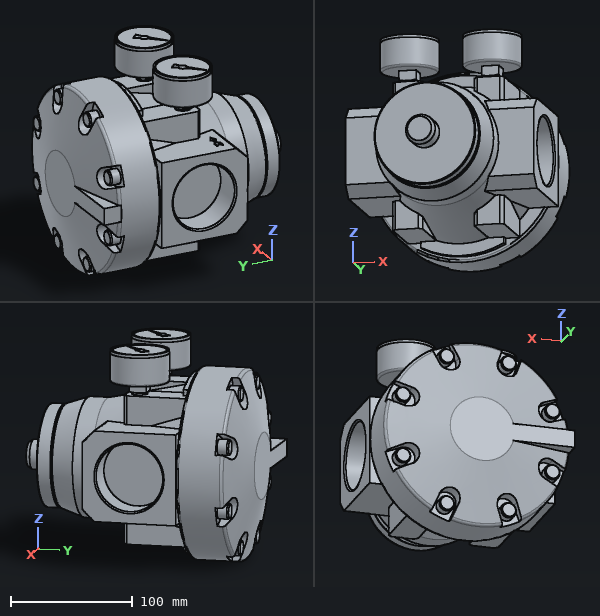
import cadquery as cq
import math


overlap = 2.0

cap_radius = 80.0
crown_y = 52.9
crown_radius = 27.7
crown_slope = 15.0
cap_edge_fillet = 2.8
cap_rim_fillet = 2.0

bolt_count = 8
bolt_circle_radius = 69.7
bolt_head_diameter = 13.0
bolt_head_top_y = 42.2
bolt_top_diameter = 11.5
bolt_head_chamfer_height = 1.4
pocket_floor_y = 32.7
pocket_width = 17.8
pocket_end_radius = 65.3

lug_width = 14.8
lug_base_y = 36.8

pad_width = 70.5
pad_radius = 75.8
pad_thickness = 5.1

bonnet_base_radius = 67.0
bonnet_radius = 100.0 / 2
bonnet_cone_length = 79.2
bonnet_land_y = -95.5
taper_end_y = -114.5
taper_end_radius = 43.5
disc_radius = 43.0
disc_start_y = -115.5
disc_end_y = -128.0
disc_chamfer = 0.8

spindle_radius = 25.0 / 2
spindle_end_radius = 20.4 / 2
overall_length = 198.0
spindle_end_y = crown_y - overall_length
spindle_chamfer_length = 3.5

block_length = 2 * cap_radius
block_height = 76.0
block_depth = bonnet_cone_length
block_chamfer = 9.9
port_diameter = 56.6
port_mouth_chamfer = 1.4
port_depth = 26.7
port_y = -block_depth / 2

mount_center_x = 34.6
mount_width = 25.3
mount_half_height = 62.2
mount_depth = 53.0
mount_chamfer = 3.0

gauge_x = 35.0
gauge_y = -42.2
gauge_case_diameter = 49.0
lid_diameter = 48.5
lid_height = 2.5
gauge_top_z = 99.0
gauge_bottom_z = 72.3
gauge_bottom_fillet = 1.8
dial_diameter = 45.0
dial_depth = 0.5
needle_length = 20.4
needle_root_width = 3.2
needle_hub_diameter = 7.1
needle_tail_length = 8.3
needle_tail_width = 7.1
needle_thickness = 0.4
needle_angle = 225
neck_diameter = 13.0
neck_height = 1.8
stem_width = 14.5
stem_chamfer_diameter = 16.0
stem_chamfer_height = 0.8

arrow_tail_x = -68.3
arrow_y = -60.0
arrow_length = 18.8
arrow_width = 5.5
arrow_shaft_width = 1.2
arrow_tail_length = 6.0
arrow_tail_notch = 2.8
arrow_taper_length = 1.5
arrow_head_length = 6.0
arrow_depth = 0.4


def turned(points):
    """Solid of revolution about the Y axis from (radius, y) points."""
    return cq.Workplane("XY").polyline(points).close().revolve(360, (0, 0, 0), (0, 1, 0))


def y_disc(radius, y_start, y_end):
    """Cylinder on the main axis between two Y positions."""
    return cq.Workplane("XZ", origin=(0, y_start, 0)).circle(radius).extrude(y_start - y_end)


def z_disc(diameter, z_start, z_end):
    """Cylinder about the Z axis between two heights."""
    return cq.Workplane("XY", origin=(0, 0, z_start)).circle(diameter / 2).extrude(z_end - z_start)


def box_between(x_range, y_range, z_range):
    """Box given by its limits along each axis."""
    size = [high - low for low, high in (x_range, y_range, z_range)]
    return cq.Workplane("XY").box(*size, centered=False).translate((x_range[0], y_range[0], z_range[0]))


def make_cap():
    edge_y = crown_y - (cap_radius - crown_radius) * math.tan(math.radians(crown_slope))
    cap = turned([
        (0, 0),
        (cap_radius, 0),
        (cap_radius, edge_y),
        (crown_radius, crown_y),
        (0, crown_y),
    ])
    cap = cap.faces("<Y").edges().fillet(cap_rim_fillet)
    cone_edge = cq.selectors.BoxSelector(
        (-cap_radius, edge_y - overlap, -cap_radius),
        (cap_radius, edge_y + overlap, cap_radius),
    )
    return cap.edges(cone_edge).fillet(cap_edge_fillet)


def make_bolt_pocket():
    """Radial slot along +X, open at the cap edge and rounded at its inner end."""
    pocket_top = crown_y + overlap
    inner_end = cq.Workplane("XZ", origin=(pocket_end_radius, pocket_top, 0)).circle(pocket_width / 2)
    slot = box_between(
        (pocket_end_radius, cap_radius + overlap),
        (pocket_floor_y, pocket_top),
        (-pocket_width / 2, pocket_width / 2),
    )
    return slot.union(inner_end.extrude(pocket_top - pocket_floor_y))


def make_bolt_head():
    head = turned([
        (0, pocket_floor_y - overlap),
        (bolt_head_diameter / 2, pocket_floor_y - overlap),
        (bolt_head_diameter / 2, bolt_head_top_y - bolt_head_chamfer_height),
        (bolt_top_diameter / 2, bolt_head_top_y),
        (0, bolt_head_top_y),
    ])
    return head.translate((bolt_circle_radius, 0, 0))


def add_bolts(cap):
    pitch = 360 / bolt_count
    for index in range(bolt_count):
        angle = pitch * (index + 0.5)
        cap = cap.cut(make_bolt_pocket().rotate((0, 0, 0), (0, 1, 0), angle))
        cap = cap.union(make_bolt_head().rotate((0, 0, 0), (0, 1, 0), angle))
    return cap


def make_lug():
    return box_between((-cap_radius, 0), (lug_base_y, crown_y), (-lug_width / 2, lug_width / 2))


def make_pads():
    strip = box_between(
        (-pad_width / 2, pad_width / 2), (-pad_thickness, 0), (-pad_radius, pad_radius))
    return strip.intersect(y_disc(pad_radius, 0, -pad_thickness))


def make_bonnet():
    return turned([
        (0, 0),
        (bonnet_base_radius, 0),
        (bonnet_radius, -bonnet_cone_length),
        (bonnet_radius, bonnet_land_y),
        (taper_end_radius, taper_end_y),
        (disc_radius - disc_chamfer, taper_end_y),
        (disc_radius - disc_chamfer, disc_start_y),
        (disc_radius, disc_start_y - disc_chamfer),
        (disc_radius, disc_end_y + disc_chamfer),
        (disc_radius - disc_chamfer, disc_end_y),
        (spindle_radius, disc_end_y),
        (spindle_radius, spindle_end_y + spindle_chamfer_length),
        (spindle_end_radius, spindle_end_y),
        (0, spindle_end_y),
    ])


def make_port_block():
    block = box_between(
        (-block_length / 2, block_length / 2),
        (-block_depth, 0),
        (-block_height / 2, block_height / 2),
    )
    return block.faces("<Y").edges("|X").chamfer(block_chamfer)


def make_port_bore(side):
    """Blind round port entering the block from the -X (side -1) or +X (side +1) end."""
    mouth_x = block_length / 2
    floor_x = mouth_x - port_depth
    radius = port_diameter / 2
    bore = cq.Workplane("XY").polyline([
        (floor_x, 0),
        (floor_x, radius),
        (mouth_x - port_mouth_chamfer, radius),
        (mouth_x, radius + port_mouth_chamfer),
        (mouth_x, 0),
    ]).close().revolve(360, (0, 0, 0), (1, 0, 0))
    if side < 0:
        bore = bore.mirror("YZ")
    return bore.translate((0, port_y, 0))


def make_mount(side):
    """Gauge mount on one side; it runs through to the underside."""
    center_x = side * mount_center_x
    mount = box_between(
        (center_x - mount_width / 2, center_x + mount_width / 2),
        (-mount_depth, 0),
        (-mount_half_height, mount_half_height),
    )
    return mount.faces("<Y").edges("|Z").chamfer(mount_chamfer)


def make_flow_arrow():
    """Sunken arrow pointing along +X, symmetric about its own axis."""
    half_width = arrow_width / 2
    half_shaft = arrow_shaft_width / 2
    head_x = arrow_length - arrow_head_length
    upper_side = [
        (0, half_width),
        (arrow_tail_length, half_width),
        (arrow_tail_length + arrow_taper_length, half_shaft),
        (head_x, half_shaft),
        (head_x, half_width),
    ]
    lower_side = [(x, -y) for x, y in reversed(upper_side)]
    outline = [(arrow_tail_notch, 0)] + upper_side + [(arrow_length, 0)] + lower_side
    arrow = cq.Workplane("XY").polyline(outline).close().extrude(-arrow_depth)
    return arrow.translate((arrow_tail_x, arrow_y, block_height / 2))


def make_housing():
    housing = add_bolts(make_cap())
    housing = housing.union(make_lug()).union(make_pads())
    housing = housing.union(make_port_block())
    for side in (-1, 1):
        housing = housing.union(make_mount(side))
    housing = housing.union(make_bonnet())
    for side in (-1, 1):
        housing = housing.cut(make_port_bore(side))
    return housing.cut(make_flow_arrow())


def make_gauge_stem():
    """Square stem whose lower corners are cut back by a shallow cone."""
    base_z = mount_half_height + neck_height
    half_diagonal = stem_width / math.sqrt(2)
    square = box_between(
        (-stem_width / 2, stem_width / 2),
        (-stem_width / 2, stem_width / 2),
        (base_z, gauge_bottom_z),
    )
    envelope = cq.Workplane("XZ").polyline([
        (0, base_z),
        (stem_chamfer_diameter / 2, base_z),
        (half_diagonal, base_z + stem_chamfer_height),
        (half_diagonal, gauge_bottom_z),
        (0, gauge_bottom_z),
    ]).close().revolve(360, (0, 0, 0), (0, 1, 0))
    return square.intersect(envelope)


def make_needle():
    """Raised pointer on the dial: a tapered needle, a round hub and a flared tail."""
    half_root = needle_root_width / 2
    half_tail = needle_tail_width / 2
    pointer = cq.Workplane("XY").polyline([
        (needle_length, 0),
        (0, half_root),
        (-needle_tail_length, half_tail),
        (-needle_tail_length, -half_tail),
        (0, -half_root),
    ]).close().extrude(needle_thickness)
    needle = pointer.union(z_disc(needle_hub_diameter, 0, needle_thickness))
    needle = needle.rotate((0, 0, 0), (0, 0, 1), needle_angle)
    return needle.translate((0, 0, gauge_top_z - dial_depth))


def make_gauge_case():
    lid_base_z = gauge_top_z - lid_height
    case = z_disc(gauge_case_diameter, gauge_bottom_z, lid_base_z)
    case = case.faces("<Z").edges().fillet(gauge_bottom_fillet)
    case = case.union(z_disc(lid_diameter, lid_base_z, gauge_top_z))
    return case.cut(z_disc(dial_diameter, gauge_top_z - dial_depth, gauge_top_z))


def make_gauge(side):
    neck = z_disc(neck_diameter, mount_half_height, mount_half_height + neck_height)
    gauge = neck.union(make_gauge_stem()).union(make_gauge_case()).union(make_needle())
    return gauge.translate((side * gauge_x, gauge_y, 0))


housing = make_housing()
gauges = [make_gauge(side) for side in (-1, 1)]

result = cq.Compound.makeCompound([housing.val(), *[gauge.val() for gauge in gauges]])